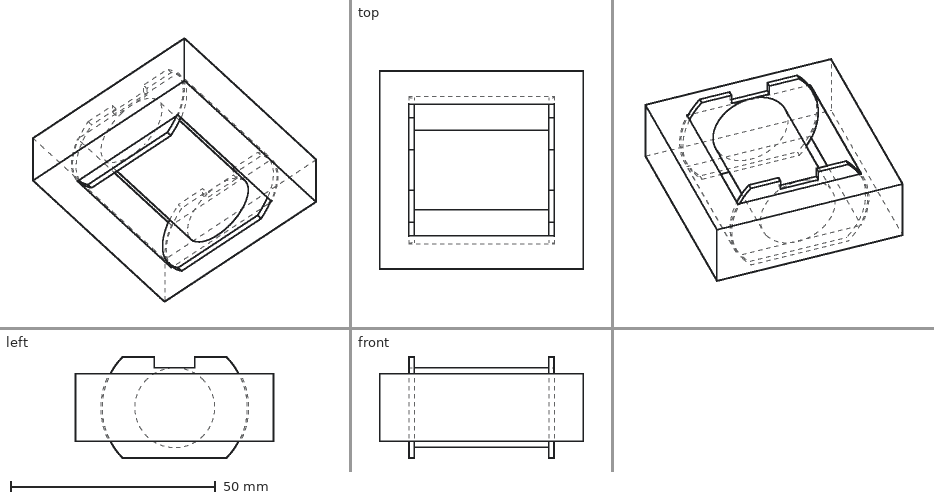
import cadquery as cq

frame_length = 49.8
frame_width = 48.5
frame_height = 16.6

cavity_length = 35.45
cavity_radius = 18.1

barrel_radius = 9.75
flange_radius = 17.75
flange_thickness = 1.35
flange_height = 24.7
notch_width = 9.85
notch_depth = 2.6


def cylinder_along_x(radius, length, center_x=0.0):
    start = center_x - length / 2
    return cq.Workplane("YZ").workplane(offset=start).circle(radius).extrude(length)


def make_frame():
    block = cq.Workplane("XY").box(frame_length, frame_width, frame_height)
    return block.cut(cylinder_along_x(cavity_radius, cavity_length))


def make_flange(center_x):
    """Disc with flat top and bottom and a notch in the middle of the top."""
    disc = cylinder_along_x(flange_radius, flange_thickness, center_x)
    flats = cq.Workplane("XY").box(frame_length, 2 * flange_radius, flange_height)
    notch_center_z = (flange_height - notch_depth) / 2
    notch = (
        cq.Workplane("XY")
        .box(frame_length, notch_width, notch_depth)
        .translate((0, 0, notch_center_z))
    )
    return disc.intersect(flats).cut(notch)


result = make_frame().union(cylinder_along_x(barrel_radius, cavity_length))
flange_center_x = (cavity_length - flange_thickness) / 2
for side in (-1, 1):
    result = result.union(make_flange(side * flange_center_x))